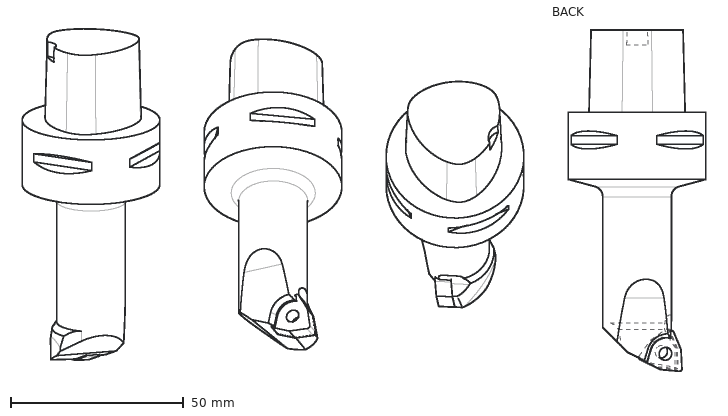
import cadquery as cq
import math

coupling_height = 23.9
coupling_radius = 14.0
lobe_height = 1.0
section_arcs = 6
arc_steps = 8
taper = 1 / 40
notch_radius = 4.0
notch_depth = 4.4
notch_center_y = -14.8

flange_radius = 20.0
flange_height = 19.5
groove_count = 4
groove_floor_distance = 17.6
groove_floor_top = -6.8
groove_floor_width = 2.5
groove_flank_angle = 30
flange_under_angle = 15

bar_radius = 10.0
neck_fillet = 3.0
head_top = -61.0
collar_height = 2.0
collar_radius = 11.3
flare_slope = 0.15
head_side_radius = 15.2
head_side_center_y = 3.7
tangent_face_angle = -34
tip_bevel_height = -62.4

insert_inscribed_radius = 4.8
insert_thickness = 4.8
insert_hole_diameter = 3.8
nose_radius = 0.8
corner_angle = 80
corner_count = 3
nose_x = -12.3
nose_lowest = -75.1
rake_x_slope = 0.27
rake_z_slope = 0.14

seat_margin = 0.3
gullet_radius = 5.9
gullet_setback = 1.4
flute_height = 2.1
rake_clearance_depth = 0.7
clearance_wall_angle = 15
rake_clearance_angle = 45
flute_length = 21.0
flute_runout_radius = 13.9

reach = 59.4

nose_z = nose_lowest + nose_radius * math.sqrt(
    1 - rake_z_slope**2 / (1 + rake_x_slope**2 + rake_z_slope**2)
)
insert_frame = cq.Plane(
    origin=(nose_x, 0, nose_z),
    xDir=(1, rake_x_slope, 0),
    normal=(rake_x_slope, -1, rake_z_slope),
)
half_corner = math.radians(corner_angle / 2)
nose_direction = 225
nose_to_center = (insert_inscribed_radius - nose_radius) / math.sin(half_corner)
insert_center = (
    -nose_to_center * math.cos(math.radians(nose_direction)),
    -nose_to_center * math.sin(math.radians(nose_direction)),
)


def from_insert_center(distance, angle):
    """Point of the insert frame at a distance and direction from the insert centre."""
    turn = math.radians(angle)
    return (insert_center[0] + distance * math.cos(turn), insert_center[1] + distance * math.sin(turn))


def trigon_point(inscribed_radius, index):
    """Vertex of the trigon: even ones are cutting corners, odd ones the blunt corners between."""
    pitch = 180 / corner_count
    blunt_half_turn = math.radians(pitch - (90 - corner_angle / 2))
    if index % 2 == 0:
        distance = inscribed_radius / math.sin(half_corner)
    else:
        distance = inscribed_radius / math.cos(blunt_half_turn)
    return from_insert_center(distance, nose_direction + index * pitch)


def trigon_prism(start, length):
    """Trigon with rounded cutting corners, between two depths of the insert frame."""
    blank = (
        cq.Workplane(insert_frame)
        .workplane(offset=start)
        .polyline([trigon_point(insert_inscribed_radius, i) for i in range(2 * corner_count)])
        .close()
        .extrude(length)
    )
    corner_middles = [
        insert_frame.toWorldCoords((*trigon_point(insert_inscribed_radius, 2 * i), start + length / 2))
        for i in range(corner_count)
    ]
    for point in corner_middles:
        blank = blank.edges(cq.selectors.NearestToPointSelector(point.toTuple())).fillet(nose_radius)
    return blank


def coupling_section(radius):
    """Closed three-lobed curve with one lobe toward +Y."""

    def point(t):
        lobe = 3 * (t - math.pi / 2)
        offset = radius + lobe_height * math.cos(lobe)
        offset_rate = -3 * lobe_height * math.sin(lobe)
        return (
            offset * math.cos(t) - offset_rate * math.sin(t),
            offset * math.sin(t) + offset_rate * math.cos(t),
        )

    edges = []
    for arc in range(section_arcs):
        turns = [2 * math.pi * (arc + i / arc_steps) / section_arcs for i in range(arc_steps + 1)]
        tangents = [cq.Vector(-math.sin(t), math.cos(t)) for t in (turns[0], turns[-1])]
        edges.append(cq.Edge.makeSpline([cq.Vector(*point(t)) for t in turns], tangents=tangents))
    return cq.Wire.assembleEdges(edges)


def make_coupling():
    lower = coupling_section(coupling_radius)
    upper = coupling_section(coupling_radius - taper * coupling_height)
    upper = upper.moved(cq.Location(cq.Vector(0, 0, coupling_height)))
    body = cq.Workplane(obj=cq.Solid.makeLoft([lower, upper], True))
    notch = (
        cq.Workplane("XY", origin=(0, notch_center_y, coupling_height))
        .circle(notch_radius)
        .extrude(-notch_depth)
    )
    return body.cut(notch)


def make_flange():
    under_drop = (flange_radius - bar_radius) * math.tan(math.radians(flange_under_angle))
    fillet_setback = neck_fillet * math.tan(math.radians((90 - flange_under_angle) / 2))
    corner_z = -flange_height - under_drop
    cone_x = bar_radius + fillet_setback * math.cos(math.radians(flange_under_angle))
    cone_z = corner_z + fillet_setback * math.sin(math.radians(flange_under_angle))
    neck_z = corner_z - fillet_setback
    arc_center = (bar_radius + neck_fillet, neck_z)
    arc_turn = math.radians(180 - (90 - flange_under_angle) / 2)
    arc_middle = (
        arc_center[0] + neck_fillet * math.cos(arc_turn),
        arc_center[1] + neck_fillet * math.sin(arc_turn),
    )
    flange = (
        cq.Workplane("XZ")
        .lineTo(flange_radius, 0)
        .lineTo(flange_radius, -flange_height)
        .lineTo(cone_x, cone_z)
        .threePointArc(arc_middle, (bar_radius, neck_z))
        .lineTo(0, neck_z)
        .close()
        .revolve(360, (0, 0, 0), (0, 1, 0))
    )
    return flange.cut(gripper_grooves())


def gripper_grooves():
    depth = flange_radius - groove_floor_distance
    flank = depth * math.tan(math.radians(groove_flank_angle))
    floor_bottom = groove_floor_top - groove_floor_width
    groove = (
        cq.Workplane("XZ")
        .moveTo(groove_floor_distance, groove_floor_top)
        .lineTo(flange_radius, groove_floor_top + flank)
        .lineTo(flange_radius, floor_bottom - flank)
        .lineTo(groove_floor_distance, floor_bottom)
        .close()
        .extrude(flange_radius, both=True)
    )
    grooves = cq.Workplane("XY")
    for i in range(groove_count):
        grooves = grooves.add(groove.rotate((0, 0, 0), (0, 0, 1), (i + 0.5) * 360 / groove_count))
    return grooves.combine()


def make_bar():
    """Round bar that widens into the flared head, before the cuts around the insert."""
    collar_z = head_top - collar_height
    flare_end_radius = collar_radius + flare_slope * (collar_z - nose_lowest)
    bar = (
        cq.Workplane("XZ", origin=(0, 0, -flange_height))
        .lineTo(bar_radius, 0)
        .lineTo(bar_radius, head_top + flange_height)
        .lineTo(collar_radius, collar_z + flange_height)
        .lineTo(flare_end_radius, nose_lowest + flange_height)
        .lineTo(0, nose_lowest + flange_height)
        .close()
        .revolve(360, (0, 0, 0), (0, 1, 0))
    )
    front_side = (
        cq.Workplane("XY", origin=(0, head_side_center_y, nose_lowest))
        .circle(head_side_radius)
        .extrude(-nose_lowest)
    )
    return bar.intersect(front_side).intersect(head_limit()).cut(tip_bevel())


def head_limit():
    """Lets the head stand out from the bar only on its -Y side, up to a flat tangent to the bar."""
    turn = math.radians(tangent_face_angle)
    tangent_point = (bar_radius * math.cos(turn), bar_radius * math.sin(turn))
    arc_middle = (bar_radius * math.cos(turn / 2), bar_radius * math.sin(turn / 2))
    flat_end = (
        tangent_point[0] + bar_radius * math.sin(turn),
        tangent_point[1] - bar_radius * math.cos(turn),
    )
    return (
        cq.Workplane("XY", origin=(0, 0, nose_lowest))
        .moveTo(bar_radius, 0)
        .threePointArc(arc_middle, tangent_point)
        .lineTo(*flat_end)
        .lineTo(-reach, flat_end[1])
        .lineTo(-reach, 0)
        .lineTo(-bar_radius, 0)
        .threePointArc((0, bar_radius), (bar_radius, 0))
        .close()
        .extrude(-nose_lowest)
    )


def tip_bevel():
    return (
        cq.Workplane("XZ", origin=(bar_radius, 0, tip_bevel_height))
        .lineTo(-reach, -reach)
        .lineTo(0, -reach)
        .close()
        .extrude(reach, both=True)
    )


def relief_cut():
    """Clears everything outside the exposed insert edges, with a round gullet above them."""
    inner_radius = insert_inscribed_radius - seat_margin
    heel = trigon_point(inner_radius, 2)
    bottom_blunt = trigon_point(inner_radius, 1)
    nose = trigon_point(inner_radius, 0)
    side_blunt = trigon_point(inner_radius, 5)
    upper = trigon_point(inner_radius, 4)
    upper_turn = math.atan2(upper[1] - side_blunt[1], upper[0] - side_blunt[0])
    gullet_tangent = (
        upper[0] - gullet_setback * math.cos(upper_turn),
        upper[1] - gullet_setback * math.sin(upper_turn),
    )
    gullet_center = (
        gullet_tangent[0] - gullet_radius * math.sin(upper_turn),
        gullet_tangent[1] + gullet_radius * math.cos(upper_turn),
    )
    gullet_right = (gullet_center[0] + gullet_radius, gullet_center[1])
    gullet_top = (gullet_center[0], gullet_center[1] + gullet_radius)
    rear_stretch = reach / math.dist(heel, bottom_blunt)
    rear_end = (
        bottom_blunt[0] + rear_stretch * (heel[0] - bottom_blunt[0]),
        bottom_blunt[1] + rear_stretch * (heel[1] - bottom_blunt[1]),
    )
    return (
        cq.Workplane(insert_frame)
        .workplane(offset=-reach / 2)
        .moveTo(*rear_end)
        .lineTo(*bottom_blunt)
        .lineTo(*nose)
        .lineTo(*side_blunt)
        .lineTo(*gullet_tangent)
        .threePointArc(gullet_right, gullet_top)
        .lineTo(-reach, gullet_top[1])
        .lineTo(-reach, -reach)
        .lineTo(rear_end[0], -reach)
        .close()
        .extrude(reach)
    )


def flute_cut():
    """Chip flute parallel to the rake face, running out of the bar along an arc."""
    runout_turn = math.radians(45)
    runout_middle = (
        flute_length + flute_runout_radius * math.sin(runout_turn),
        -flute_height - flute_runout_radius * (1 - math.cos(runout_turn)),
    )
    runout_end = (flute_length + flute_runout_radius, -flute_height - flute_runout_radius)
    section = cq.Plane(
        origin=insert_frame.origin, xDir=insert_frame.yDir, normal=insert_frame.xDir
    )
    return (
        cq.Workplane(section)
        .moveTo(-reach, -flute_height)
        .lineTo(flute_length, -flute_height)
        .threePointArc(runout_middle, runout_end)
        .lineTo(-reach, runout_end[1])
        .close()
        .extrude(reach, both=True)
    )


def rake_clearance():
    """Clearance over the rake face, straight at first, then opening out as a cone.

    It is round above the insert centre, open toward the nose, and has a flat wall
    running from the arc to the tip of the head.
    """

    def outline(depth):
        wall_start = from_insert_center(insert_inscribed_radius, clearance_wall_angle)
        arc_middle = from_insert_center(insert_inscribed_radius, (clearance_wall_angle + 180) / 2)
        arc_end = from_insert_center(insert_inscribed_radius, 180)
        wall_turn = math.radians(clearance_wall_angle - 90)
        wall_end = (
            wall_start[0] + reach * math.cos(wall_turn),
            wall_start[1] + reach * math.sin(wall_turn),
        )
        return (
            cq.Workplane(insert_frame)
            .workplane(offset=-depth)
            .moveTo(*wall_end)
            .lineTo(*wall_start)
            .threePointArc(arc_middle, arc_end)
            .lineTo(-reach, arc_end[1])
            .lineTo(-reach, wall_end[1])
            .close()
        )

    straight = outline(0).extrude(-rake_clearance_depth)
    cone = outline(rake_clearance_depth).extrude(-flute_height, taper=-rake_clearance_angle)
    return straight.union(cone)


def make_holder():
    bar = make_bar()
    bar = bar.cut(relief_cut()).cut(flute_cut())
    bar = bar.cut(trigon_prism(0, insert_thickness)).cut(rake_clearance())
    return make_flange().union(make_coupling()).union(bar)


def make_insert():
    hole = (
        cq.Workplane(insert_frame)
        .center(*insert_center)
        .circle(insert_hole_diameter / 2)
        .extrude(insert_thickness)
    )
    return trigon_prism(0, insert_thickness).cut(hole)


holder = make_holder()
insert = make_insert()
result = cq.Compound.makeCompound([holder.val(), insert.val()])